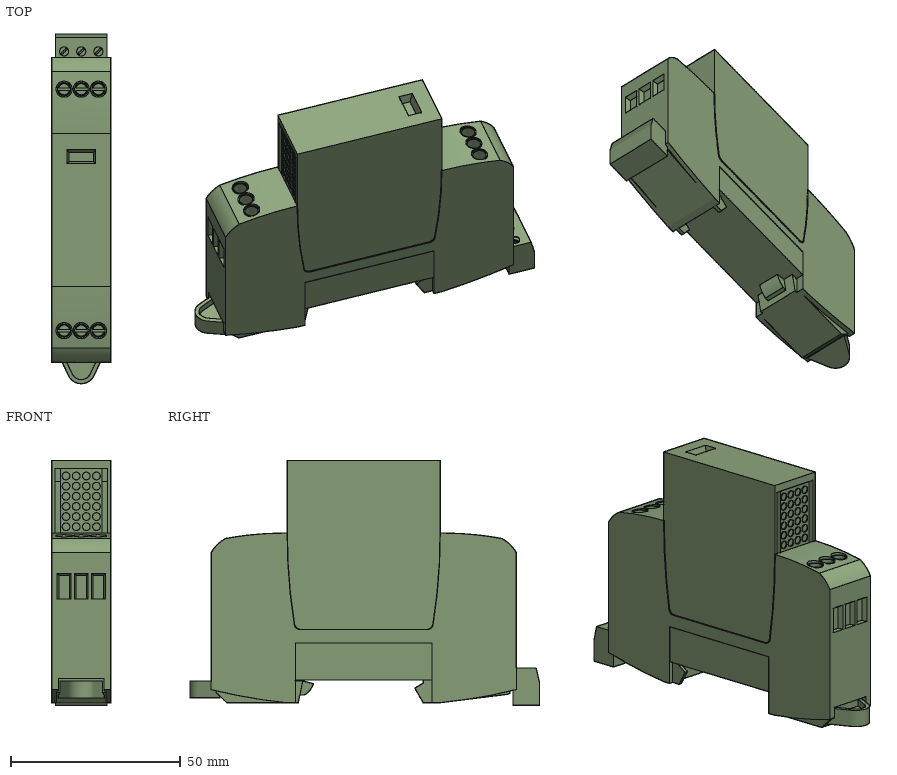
import cadquery as cq

WIDTH = 17.5
HEIGHT = 72.5

BODY_HALF = 45.1
BODY_BOTTOM = 0.7
BODY_BOTTOM_FLAT_Y = 22.5
SIDE_BOTTOM_Z = 4.7
SIDE_TOP_Z = 45.2
SHOULDER_Z = 51.0
SHOULDER_END_Y = 40.9
SHOULDER_END_Z = 49.4
ARC_BULGE = 0.4
RAIL_HALF = 20.2
RAIL_TOP_Z = 7.5
WEB_TOP_Z = 18.4
WEB_INSET = 0.1

MODULE_HALF = 22.7
MODULE_FOOT_HALF = 20.3
MODULE_FOOT_Z = 22.4
MODULE_CORNER = 1.9
MODULE_BULGE = 0.6
SEAM_WIDTH = 0.1
SEAM_DEPTH = 0.3

WINDOW_WIDTH = 15.5
WINDOW_TOP_Z = 70.1
WINDOW_BOTTOM_Z = 48.6
WINDOW_DEPTH = 0.2
GRILLE_WIDTH = 12.2
CHANNEL_STEP_Z = 66.1
CHANNEL_DEPTH = 3.1
CHANNEL_UPPER_DEPTH = 2.1
VENT_COLUMNS = 4
VENT_ROWS = 6
VENT_PITCH = 3.0
VENT_DIAMETER = 2.3
VENT_DEPTH = 0.3
VENT_CENTER_Z = 60.3

TERMINAL_PITCH = 5.1
TERMINAL_XS = (-TERMINAL_PITCH, 0, TERMINAL_PITCH)
SCREW_Y = 35.7
SCREW_MOUTH_DIAMETER = 4.8
SCREW_MOUTH_Z = 49.7
SCREW_HOLE_DIAMETER = 3.9
SCREW_FLOOR_Z = 45.0
SCREW_HEAD_DIAMETER = 3.3
SCREW_HEAD_HEIGHT = 1.0
SCREW_SLOT = 0.7
WIRE_WIDTH = 4.1
WIRE_HEIGHT = 7.6
WIRE_CENTER_Z = 35.2
WIRE_DEPTH = 1.6
WIRE_INSET = (0.5, 0.5, 0.1)

LIGHT_WIDTH = 8.5
LIGHT_LENGTH = 4.1
LIGHT_Y = 15.8
LIGHT_DEPTH = 2.6
LIGHT_INSET = (0.6, 0.9, 0.5)

PLUG_WIDTH = 15.3
PLUG_END_Y = 52.1
PLUG_INNER_Y = 44.1
PLUG_TOP_Z = 11.1
PLUG_BEVEL_Y = 51.0
PLUG_BEVEL_Z = 6.7
PLUG_SCREW_Y = 46.9
PLUG_SCREW_DIAMETER = 2.7
PLUG_SCREW_RECESS = 0.3
PLUG_SLOT = 0.5
PLUG_SLOT_ANGLE = 45

HOOK_WIDTH = 14.9
HOOK_CHEEK = 1.0
HOOK_NECK_Y = 17.6
HOOK_NECK_Z = 6.6
HOOK_TIP = (15.1, 5.1)
CARRIER_END_Y = 43.3
CARRIER_END_Z = 3.5
CARRIER_BEND = (42.4, 3.2)
SLIDE_WIDTH = 14.7
SLIDE_BEVEL_Y = -40.5
SLIDE_BEVEL_Z = 3.8
NOSE_WIDTH = 12.8
NOSE_BOTTOM_Y = -19.4
NOSE_TOP_Y = -18.0
BEAK_WIDTH = 6.6
BEAK_TIP = (-14.8, 6.4)
BEAK_HEEL = (-17.6, 3.0)
BEAK_BULGE = 0.4

TONGUE_TIP_Y = -51.4
TONGUE_ARC_Y = -49.2
TONGUE_ARC_HALF = 3.7
TONGUE_ROOT_HALF = 6.9
TONGUE_BOTTOM_Z = 2.2
TONGUE_TOP_Z = 7.2
TONGUE_WALL = 1.2
TONGUE_POCKET_DEPTH = 2.1
NOTCH_END_Y = -43.7
NOTCH_WIDTH = 13.5
NOTCH_TOP_Z = 8.0
TONGUE_ROOT_Y = NOTCH_END_Y + TONGUE_WALL


def slab(points, width):
    """Closed Y-Z polygon extruded across the width, centred on X = 0."""
    return cq.Workplane("YZ").polyline(points).close().extrude(width / 2, both=True)


def box(width, y_range, z_range):
    """Block centred on X = 0 between two Y values and two Z values."""
    length = y_range[1] - y_range[0]
    height = z_range[1] - z_range[0]
    block = cq.Workplane("XY").box(width, length, height, centered=(True, False, False))
    return block.translate((0, y_range[0], z_range[0]))


def tapered_pocket(face, size, inset, depth):
    """Pocket tool from a face plane whose floor is inset by (side, top, bottom)."""
    width, height = size
    side, top, bottom = inset
    return (
        face.rect(width, height)
        .workplane(offset=depth)
        .center(0, (bottom - top) / 2)
        .rect(width - 2 * side, height - top - bottom)
        .loft(ruled=True)
    )


def make_base():
    bottom = (BODY_BOTTOM_FLAT_Y, BODY_BOTTOM)
    side_low = (BODY_HALF, SIDE_BOTTOM_Z)
    side_high = (BODY_HALF, SIDE_TOP_Z)
    shoulder_end = (SHOULDER_END_Y, SHOULDER_END_Z)
    shoulder = (MODULE_HALF, SHOULDER_Z)
    half = (
        cq.Workplane("YZ")
        .moveTo(0, RAIL_TOP_Z)
        .lineTo(RAIL_HALF, RAIL_TOP_Z)
        .lineTo(RAIL_HALF, BODY_BOTTOM)
        .lineTo(*bottom)
        .sagittaArc(side_low, -ARC_BULGE)
        .lineTo(*side_high)
        .sagittaArc(shoulder_end, -ARC_BULGE)
        .sagittaArc(shoulder, -ARC_BULGE)
        .lineTo(0, SHOULDER_Z)
        .close()
        .extrude(WIDTH / 2, both=True)
    )
    base = half.union(half.mirror("XZ"))
    web_area = box(WIDTH, (-RAIL_HALF, RAIL_HALF), (RAIL_TOP_Z, WEB_TOP_Z))
    web_core = box(WIDTH - 2 * WEB_INSET, (-RAIL_HALF, RAIL_HALF), (RAIL_TOP_Z, WEB_TOP_Z))
    return base.cut(web_area.cut(web_core))


def module_block(inset):
    """Module outline, shrunk by the inset along its buried edge."""
    top_half = MODULE_HALF - inset
    foot_half = MODULE_FOOT_HALF - inset
    foot_z = MODULE_FOOT_Z + inset
    return (
        cq.Workplane("YZ")
        .moveTo(-top_half, HEIGHT)
        .lineTo(-top_half, SHOULDER_Z)
        .sagittaArc((-foot_half, foot_z), -MODULE_BULGE)
        .lineTo(foot_half, foot_z)
        .sagittaArc((top_half, SHOULDER_Z), -MODULE_BULGE)
        .lineTo(top_half, HEIGHT)
        .close()
        .extrude(WIDTH / 2, both=True)
        .edges("|X and <Z")
        .fillet(MODULE_CORNER)
    )


def make_seam():
    """Thin groove around the buried part of the module on both side faces."""
    ring = module_block(0).cut(module_block(SEAM_WIDTH))
    below_shoulder = box(WIDTH, (-BODY_HALF, BODY_HALF), (0, SHOULDER_Z))
    core = box(WIDTH - 2 * SEAM_DEPTH, (-BODY_HALF, BODY_HALF), (0, HEIGHT))
    return ring.intersect(below_shoulder).cut(core)


def cut_grille(part):
    front = -MODULE_HALF
    part = part.cut(box(WINDOW_WIDTH, (front, front + WINDOW_DEPTH), (WINDOW_BOTTOM_Z, WINDOW_TOP_Z)))
    lower = box(WINDOW_WIDTH, (front, front + CHANNEL_DEPTH), (WINDOW_BOTTOM_Z, CHANNEL_STEP_Z))
    upper = box(WINDOW_WIDTH, (front, front + CHANNEL_UPPER_DEPTH), (CHANNEL_STEP_Z, WINDOW_TOP_Z))
    panel = box(GRILLE_WIDTH, (front, front + CHANNEL_DEPTH), (WINDOW_BOTTOM_Z, WINDOW_TOP_Z))
    part = part.cut(lower.union(upper).cut(panel))
    vents = (
        cq.Workplane("XZ", origin=(0, front + WINDOW_DEPTH, VENT_CENTER_Z))
        .rarray(VENT_PITCH, VENT_PITCH, VENT_COLUMNS, VENT_ROWS)
        .circle(VENT_DIAMETER / 2)
        .extrude(-VENT_DEPTH)
    )
    return part.cut(vents)


def cut_terminals(part):
    """Screw wells with slotted heads, and wire entries, at both ends."""
    for end in (-1, 1):
        for x in TERMINAL_XS:
            well = cq.Workplane("XY", origin=(x, end * SCREW_Y, SCREW_FLOOR_Z))
            mouth = well.workplane(offset=SCREW_MOUTH_Z - SCREW_FLOOR_Z)
            head = well.circle(SCREW_HEAD_DIAMETER / 2).extrude(SCREW_HEAD_HEIGHT)
            slot = well.rect(SCREW_HEAD_DIAMETER, SCREW_SLOT).extrude(SCREW_HEAD_HEIGHT)
            part = part.cut(mouth.circle(SCREW_MOUTH_DIAMETER / 2).extrude(SHOULDER_Z - SCREW_MOUTH_Z))
            part = part.cut(well.circle(SCREW_HOLE_DIAMETER / 2).extrude(SHOULDER_Z - SCREW_FLOOR_Z))
            part = part.union(head.cut(slot))
            face = cq.Workplane("XZ", origin=(x, end * BODY_HALF, WIRE_CENTER_Z))
            entry = tapered_pocket(face, (WIRE_WIDTH, WIRE_HEIGHT), WIRE_INSET, end * WIRE_DEPTH)
            part = part.cut(entry)
    return part


def make_light_window():
    face = cq.Workplane("XY", origin=(0, LIGHT_Y, HEIGHT))
    return tapered_pocket(face, (LIGHT_WIDTH, LIGHT_LENGTH), LIGHT_INSET, -LIGHT_DEPTH)


def make_plug():
    plug = slab(
        [
            (PLUG_INNER_Y, 0),
            (PLUG_END_Y, 0),
            (PLUG_END_Y, PLUG_BEVEL_Z),
            (PLUG_BEVEL_Y, PLUG_TOP_Z),
            (PLUG_INNER_Y, PLUG_TOP_Z),
        ],
        PLUG_WIDTH,
    )
    for x in TERMINAL_XS:
        floor = cq.Workplane("XY", origin=(x, PLUG_SCREW_Y, PLUG_TOP_Z - PLUG_SCREW_RECESS))
        slot = (
            floor.transformed(rotate=(0, 0, PLUG_SLOT_ANGLE))
            .rect(PLUG_SCREW_DIAMETER - PLUG_SLOT, PLUG_SLOT)
            .extrude(-PLUG_SCREW_RECESS)
        )
        plug = plug.cut(floor.circle(PLUG_SCREW_DIAMETER / 2).extrude(PLUG_SCREW_RECESS))
        plug = plug.cut(slot)
    return plug


def make_fixed_hook():
    """Pair of hook cheeks on the +Y side with their carrier running back to the plug."""
    hook = slab(
        [
            (HOOK_NECK_Y, BODY_BOTTOM),
            (BODY_BOTTOM_FLAT_Y, BODY_BOTTOM),
            CARRIER_BEND,
            (CARRIER_END_Y, CARRIER_END_Z),
            (CARRIER_END_Y, RAIL_TOP_Z),
            (HOOK_NECK_Y, RAIL_TOP_Z),
            (HOOK_NECK_Y, HOOK_NECK_Z),
            HOOK_TIP,
        ],
        HOOK_WIDTH,
    )
    gap = box(HOOK_WIDTH - 2 * HOOK_CHEEK, (0, RAIL_HALF), (0, RAIL_TOP_Z))
    return hook.cut(gap)


def make_slide():
    """Sliding clip on the -Y side with its rounded beak."""
    plate = slab(
        [
            (-RAIL_HALF, BODY_BOTTOM),
            (SLIDE_BEVEL_Y, BODY_BOTTOM),
            (NOTCH_END_Y, SLIDE_BEVEL_Z),
            (NOTCH_END_Y, TONGUE_TOP_Z),
            (-RAIL_HALF, TONGUE_TOP_Z),
        ],
        SLIDE_WIDTH,
    )
    nose = slab(
        [
            (-RAIL_HALF, BODY_BOTTOM),
            (NOSE_BOTTOM_Y, BODY_BOTTOM),
            (NOSE_TOP_Y, TONGUE_TOP_Z),
            (-RAIL_HALF, TONGUE_TOP_Z),
        ],
        NOSE_WIDTH,
    )
    beak = (
        cq.Workplane("YZ")
        .moveTo(-RAIL_HALF, TONGUE_TOP_Z)
        .lineTo(NOSE_TOP_Y, TONGUE_TOP_Z)
        .lineTo(*BEAK_TIP)
        .sagittaArc(BEAK_HEEL, BEAK_BULGE)
        .lineTo(-RAIL_HALF, BEAK_HEEL[1])
        .close()
        .extrude(BEAK_WIDTH / 2, both=True)
    )
    return plate.union(nose).union(beak)


def make_tongue():
    """Release tongue with a rounded tip and a pocket running back to the notch wall."""
    def outline(z):
        return (
            cq.Workplane("XY", origin=(0, 0, z))
            .moveTo(-TONGUE_ROOT_HALF, TONGUE_ROOT_Y)
            .lineTo(-TONGUE_ARC_HALF, TONGUE_ARC_Y)
            .threePointArc((0, TONGUE_TIP_Y), (TONGUE_ARC_HALF, TONGUE_ARC_Y))
            .lineTo(TONGUE_ROOT_HALF, TONGUE_ROOT_Y)
            .close()
        )

    tongue = outline(TONGUE_BOTTOM_Z).extrude(TONGUE_TOP_Z - TONGUE_BOTTOM_Z)
    pocket = outline(TONGUE_TOP_Z).offset2D(-TONGUE_WALL).extrude(-TONGUE_POCKET_DEPTH)
    return tongue.cut(pocket)


notch = box(NOTCH_WIDTH, (-BODY_HALF, NOTCH_END_Y), (0, NOTCH_TOP_Z))

result = make_base().union(module_block(0)).cut(make_seam())
result = cut_grille(result)
result = cut_terminals(result)
result = result.cut(make_light_window()).cut(notch)
result = result.union(make_plug()).union(make_fixed_hook())
result = result.union(make_slide()).union(make_tongue())